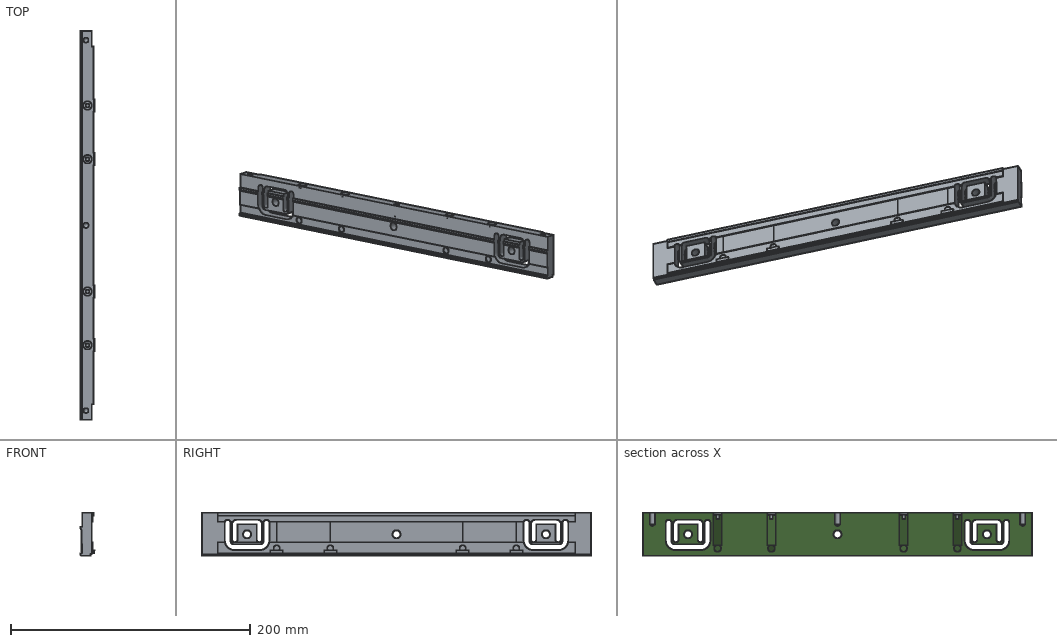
import cadquery as cq
import math

LENGTH = 325.0
HEIGHT = 36.0
TOP = HEIGHT / 2
BOTTOM = -TOP
CUTTER_REACH = 16.2

BACK_X = 3.5
FRONT_X = -4.5
FRONT_MIDDLE_X = -5.2
RIB_X = -6.0
RIB_TOP = 6.5
RIB_FACE_BOTTOM = 5.0
RIB_BOTTOM = 3.5
MIDDLE_BOTTOM = -8.5
LIP_TOP = -15.3
LIP_TIP_TOP = -16.0
LIP_TIP_BOTTOM = -17.2
LIP_FOOT_X = -5.2
SHOULDER_Z = -16.5
FOOT_BACK_X = 2.5

RAIL_LENGTH = 299.0
LAND_X = 4.5
UPPER_LAND_BOTTOM = 10.5
LOWER_LAND_TOP = -6.5
LOWER_LAND_BOTTOM = -15.5
HOOK_X = 5.2
HOOK_BOTTOM = 15.5

TONGUE_Y = 124.8
HOLE_DIAMETER = 6.5
SLOT_TOP = 12.0
OUTER_SLOT_WIDTH = 4.5
OUTER_SLOT_SPAN = 37.0
OUTER_SLOT_BOTTOM = -13.0
OUTER_SLOT_RADIUS = 7.8
INNER_SLOT_WIDTH = 4.2
INNER_SLOT_SPAN = 24.7
INNER_SLOT_BAND = 3.5
INNER_SLOT_BOTTOM = -6.5
INNER_SLOT_RADIUS = 3.2
SLOT_END_SHARE = 0.45

DRILLED_X = -1.3
DRILLED_DEPTH = 9.8
END_DRILLED_Y = 154.7
END_DRILLED_DIAMETER = 4.2
MIDDLE_DRILLED_DIAMETER = 4.5
DRILL_TIP_ANGLE = 118

CLAMP_YS = (-100.0, -55.2, 55.2, 100.0)
PIN_Z = -11.7
PIN_DIAMETER = 5.2
PIN_TIP_X = FRONT_MIDDLE_X
CLAW_WIDTH = 10.5
CLAW_TOP = -13.3
CLAW_BOTTOM = -16.0
CLAW_TIP_X = 6.0
CLAW_FOOT_X = 5.5

SCREW_X = 0.0
SCREW_DIAMETER = 7.0
SCREW_TOP = 16.2
SCREW_BOTTOM = PIN_Z + PIN_DIAMETER / 2
SOCKET_DIAMETER = 3.2
SOCKET_DEPTH = 3.2


def extruded_profile(points, length, y=0):
    """Close the XZ points and extrude them along Y, centred on y."""
    profile = cq.Workplane("XZ", origin=(0, y, 0)).polyline(points).close()
    return profile.extrude(length / 2, both=True)


def block(x_range, length, z_range):
    """Box between two X and two Z positions, centred in Y; one from X = 0 starts inside the bar."""
    (x0, x1), (z0, z1) = x_range, z_range
    return extruded_profile([(x0, z0), (x1, z0), (x1, z1), (x0, z1)], length)


def drilled_hole(x, y, diameter, top, depth):
    """Vertical cutter with a drill-point bottom."""
    cutter = cq.Solid.makeCylinder(diameter / 2, depth, cq.Vector(x, y, top - depth))
    tip_height = diameter / 2 / math.tan(math.radians(DRILL_TIP_ANGLE / 2))
    tip = cq.Solid.makeCone(0, diameter / 2, tip_height, cq.Vector(x, y, top - depth - tip_height))
    return cq.Workplane(cutter.fuse(tip))


def through_hole(y, z, diameter):
    """Cutter along X through the whole bar."""
    start = cq.Vector(-CUTTER_REACH, y, z)
    return cq.Workplane(cq.Solid.makeCylinder(diameter / 2, 2 * CUTTER_REACH, start, cq.Vector(1, 0, 0)))


def bar_blank():
    """Bar with its rib and lip on -X, and its lands and hook on +X."""
    bar = extruded_profile(
        [
            (FRONT_X, TOP),
            (FRONT_X, RIB_TOP),
            (RIB_X, RIB_TOP),
            (RIB_X, RIB_FACE_BOTTOM),
            (FRONT_MIDDLE_X, RIB_BOTTOM),
            (FRONT_MIDDLE_X, MIDDLE_BOTTOM),
            (FRONT_X, MIDDLE_BOTTOM),
            (FRONT_X, LIP_TOP),
            (RIB_X, LIP_TIP_TOP),
            (RIB_X, LIP_TIP_BOTTOM),
            (LIP_FOOT_X, BOTTOM),
            (FOOT_BACK_X, BOTTOM),
            (FOOT_BACK_X, SHOULDER_Z),
            (BACK_X, SHOULDER_Z),
            (BACK_X, TOP),
        ],
        LENGTH,
    )
    upper_land = block((0, LAND_X), RAIL_LENGTH, (UPPER_LAND_BOTTOM, TOP))
    lower_land = block((0, LAND_X), RAIL_LENGTH, (LOWER_LAND_BOTTOM, LOWER_LAND_TOP))
    hook = block((0, HOOK_X), RAIL_LENGTH, (HOOK_BOTTOM, TOP))
    return bar.union(upper_land).union(lower_land).union(hook)


def plate(y, width, z_range):
    """Rectangular block through the whole thickness of the bar."""
    return block((-CUTTER_REACH, CUTTER_REACH), width, z_range).translate((0, y, 0))


def outer_slot(y):
    """Cutter for the U-shaped slot with its open side up and rounded leg ends."""
    inside_span = OUTER_SLOT_SPAN - 2 * OUTER_SLOT_WIDTH
    outside = plate(y, OUTER_SLOT_SPAN, (OUTER_SLOT_BOTTOM, SLOT_TOP))
    outside = outside.edges("|X and <Z").fillet(OUTER_SLOT_RADIUS)
    inside = plate(y, inside_span, (OUTER_SLOT_BOTTOM + OUTER_SLOT_WIDTH, SLOT_TOP))
    inside = inside.edges("|X and <Z").fillet(OUTER_SLOT_RADIUS - OUTER_SLOT_WIDTH)
    return outside.cut(inside).edges("|X and >Z").fillet(SLOT_END_SHARE * OUTER_SLOT_WIDTH)


def inner_slot(y):
    """Cutter for the U-shaped slot with its open side down and rounded leg ends."""
    inside_span = INNER_SLOT_SPAN - 2 * INNER_SLOT_WIDTH
    outside = plate(y, INNER_SLOT_SPAN, (INNER_SLOT_BOTTOM, SLOT_TOP))
    outside = outside.edges("|X and >Z").fillet(INNER_SLOT_RADIUS)
    inside = plate(y, inside_span, (INNER_SLOT_BOTTOM, SLOT_TOP - INNER_SLOT_BAND))
    return outside.cut(inside).edges("|X and <Z").fillet(SLOT_END_SHARE * INNER_SLOT_WIDTH)


def make_clamp(y):
    """Pin with a tapered claw on its +X end."""
    start = cq.Vector(PIN_TIP_X, y, PIN_Z)
    pin = cq.Solid.makeCylinder(PIN_DIAMETER / 2, LAND_X - PIN_TIP_X, start, cq.Vector(1, 0, 0))
    claw = extruded_profile(
        [(BACK_X, CLAW_TOP), (CLAW_TIP_X, CLAW_TOP), (CLAW_FOOT_X, CLAW_BOTTOM), (BACK_X, CLAW_BOTTOM)],
        CLAW_WIDTH,
        y,
    )
    return claw.union(cq.Workplane(pin))


def make_screw(y):
    """Set screw with a drilled socket, resting on the pin of its clamp."""
    screw = (
        cq.Workplane("XY", origin=(SCREW_X, y, SCREW_BOTTOM))
        .circle(SCREW_DIAMETER / 2)
        .extrude(SCREW_TOP - SCREW_BOTTOM)
    )
    return screw.cut(drilled_hole(SCREW_X, y, SOCKET_DIAMETER, SCREW_TOP, SOCKET_DEPTH))


def screw_hole(y):
    """Vertical cutter from the top face down to the pin."""
    start = cq.Vector(SCREW_X, y, SCREW_BOTTOM)
    return cq.Workplane(cq.Solid.makeCylinder(SCREW_DIAMETER / 2, TOP - SCREW_BOTTOM, start))


clamps = [make_clamp(y) for y in CLAMP_YS]
screws = [make_screw(y) for y in CLAMP_YS]

bar = bar_blank().cut(through_hole(0, 0, HOLE_DIAMETER))
for tongue_y in (-TONGUE_Y, TONGUE_Y):
    bar = bar.cut(outer_slot(tongue_y)).cut(inner_slot(tongue_y))
    bar = bar.cut(through_hole(tongue_y, 0, HOLE_DIAMETER))
for end_y in (-END_DRILLED_Y, END_DRILLED_Y):
    bar = bar.cut(drilled_hole(DRILLED_X, end_y, END_DRILLED_DIAMETER, TOP, DRILLED_DEPTH))
bar = bar.cut(drilled_hole(DRILLED_X, 0, MIDDLE_DRILLED_DIAMETER, TOP, DRILLED_DEPTH))
for clamp, clamp_y in zip(clamps, CLAMP_YS):
    bar = bar.cut(clamp).cut(screw_hole(clamp_y))

result = cq.Compound.makeCompound(
    [bar.val(), *[clamp.val() for clamp in clamps], *[screw.val() for screw in screws]]
)